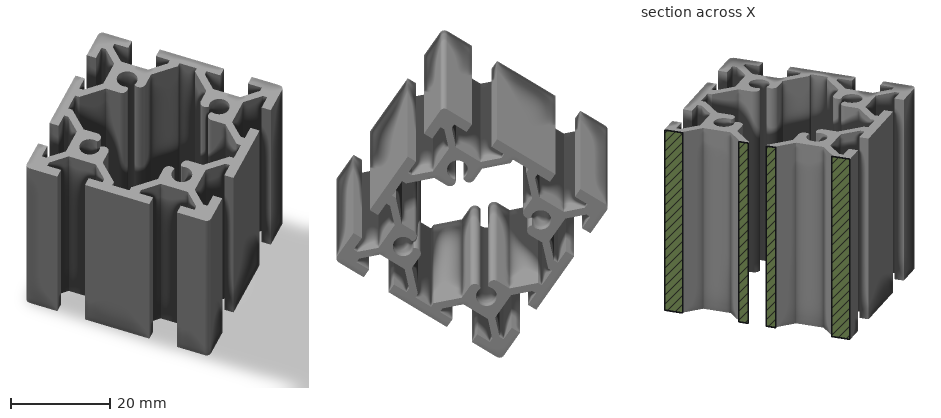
import cadquery as cq
side = 40.0
length = 40.0
corner_radius = 1.0

core_offset = 10.0
slot_opening = 6.0
slot_inner_width = 12.0
slot_floor_width = 5.9
slot_depth = 6.0
lip_thickness = 2.0
slot_shoulder_depth = 2.9

core_half_width = 4.0
bore_diameter = 4.2

finger_tip_radius = 1.2
slit_width = 1.6
slit_angle = 45

cavity_wall_offset = 18.1

half_side = side / 2
core_center = core_offset - half_side
core_inner_face = core_center + core_half_width


def extrude_outline(points):
    return cq.Workplane("XY").polyline(points).close().extrude(length)


def repeat_on_sides(body):
    """Join four copies of a body, one per side, turned about the profile axis."""
    copies = body
    for turn in (90, 180, 270):
        copies = copies.union(body.rotate((0, 0, 0), (0, 0, 1), turn))
    return copies


def make_slot(center_x):
    """Volume of one T-slot opening towards -Y."""
    right_half = [
        (slot_opening / 2, 0),
        (slot_opening / 2, lip_thickness),
        (slot_inner_width / 2, lip_thickness),
        (slot_inner_width / 2, slot_shoulder_depth),
        (slot_floor_width / 2, slot_depth),
    ]
    left_half = [(-x, y) for x, y in reversed(right_half)]
    outline = [(center_x + x, y - half_side) for x, y in right_half + left_half]
    return extrude_outline(outline)


def make_cavity_sector():
    """Part of the central cavity that faces the -Y side, up to the profile axis."""
    wall_x = half_side - cavity_wall_offset
    shoulder_y = slot_shoulder_depth - half_side
    core_side_x = -core_inner_face
    flare_end_y = shoulder_y + core_side_x - wall_x
    right_half = [
        (wall_x, lip_thickness - half_side),
        (wall_x, shoulder_y),
        (core_side_x, flare_end_y),
        (core_side_x, core_inner_face),
    ]
    left_half = [(-x, y) for x, y in reversed(right_half)]
    return extrude_outline(right_half + [(0, 0)] + left_half)


def make_bore_opening():
    """Bore of the (-X, -Y) core with the gap between its two rounded fingers."""
    core_plane = cq.Workplane("XY", origin=(core_center, core_center, 0))
    tip_center = core_half_width - finger_tip_radius
    bore = core_plane.circle(bore_diameter / 2).extrude(length)
    tips = (
        core_plane
        .pushPoints([(tip_center, 0), (0, tip_center)])
        .circle(finger_tip_radius)
        .extrude(length)
    )
    slit = (
        core_plane
        .transformed(rotate=(0, 0, slit_angle))
        .rect(2 * core_half_width, slit_width)
        .extrude(length)
    )
    inner_quarter = core_plane.rect(core_half_width, core_half_width, centered=False).extrude(length)
    fingers = tips.cut(slit)
    return inner_quarter.cut(fingers).union(bore)


blank = cq.Workplane("XY").rect(side, side).extrude(length).edges("|Z").fillet(corner_radius)
slots = make_slot(core_center).union(make_slot(-core_center))

result = (
    blank
    .cut(repeat_on_sides(slots))
    .cut(repeat_on_sides(make_cavity_sector()))
    .cut(repeat_on_sides(make_bore_opening()))
)